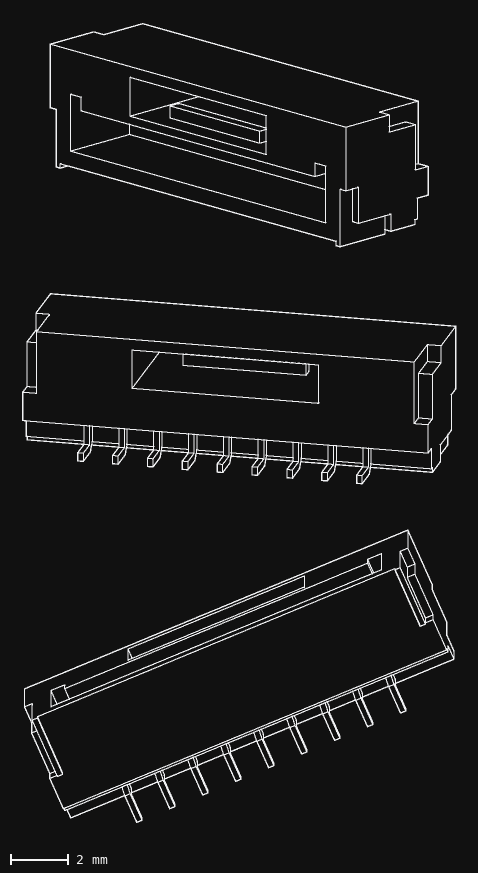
import cadquery as cq

LENGTH = 14.5
DEPTH = 4.06
HEIGHT = 4.23
BACK_LEDGE_Z = 0.93
HEEL_Z = 0.17
HEEL_Y = 3.41
HEEL_BACK_Y = 3.54

SLOT_WIDTH = 12.5
SLOT_BOTTOM = 0.57
SLOT_TOP = HEIGHT - 2.1
KEYWAY_TOP = HEIGHT - 1.61
KEYWAY_WIDTH = 0.52
SLOT_DEPTH = 2.9

WINDOW_WIDTH = 6.67
WINDOW_BOTTOM = HEIGHT - 1.8
WINDOW_TOP = HEIGHT - 0.39
BAR_WIDTH = 4.41
BAR_HEIGHT = 0.44
BAR_FRONT_Y = 0.83
BAR_DEPTH = 0.44

L_ARM = 0.62
BACK_RECESS_INSET = 0.5
BACK_RECESS_DEPTH_Y = 1.91
BACK_RECESS_HEIGHT = 2.26
FRONT_RECESS_INSET = 0.29
FRONT_RECESS_DEPTH_Y = 2.22
FRONT_RECESS_HEIGHT = 1.93

FOOT_THICKNESS = 0.2
FOOT_DROP = 0.16

LEAD_COUNT = 9
LEAD_PITCH = 1.25
LEAD_WIDTH = 0.2
LEAD_THICKNESS = 0.3
LEAD_STEM = 0.39
LEAD_DROP = 0.12
LEAD_REACH = 0.78
LEAD_BEVEL = 0.26


def centred_block(width, y_start, y_end, z_start, z_end):
    """Block centred on the housing length."""
    size = (width, y_end - y_start, z_end - z_start)
    return cq.Workplane("XY").box(*size, centered=(True, False, False)).translate((0, y_start, z_start))


def side_prism(points, x_start, width):
    """Prism along X with its outline given as (y, z) points."""
    return cq.Workplane("YZ", origin=(x_start, 0, 0)).polyline(points).close().extrude(width)


def both_ends(left_shape):
    """The given shape together with its mirror image at the other end."""
    return left_shape.union(left_shape.mirror("YZ"))


def housing():
    outline = [
        (0, 0),
        (HEEL_Y, 0),
        (HEEL_Y, HEEL_Z),
        (HEEL_BACK_Y, HEEL_Z),
        (HEEL_BACK_Y, BACK_LEDGE_Z),
        (DEPTH, BACK_LEDGE_Z),
        (DEPTH, HEIGHT),
        (0, HEIGHT),
    ]
    return side_prism(outline, -LENGTH / 2, LENGTH)


def mating_slot():
    slot = centred_block(SLOT_WIDTH, 0, SLOT_DEPTH, SLOT_BOTTOM, KEYWAY_TOP)
    tongue_width = SLOT_WIDTH - 2 * KEYWAY_WIDTH
    return slot.cut(centred_block(tongue_width, 0, SLOT_DEPTH, SLOT_TOP, KEYWAY_TOP))


def latch_window():
    return centred_block(WINDOW_WIDTH, 0, DEPTH, WINDOW_BOTTOM, WINDOW_TOP)


def latch_bar():
    bar_top = WINDOW_BOTTOM + BAR_HEIGHT
    return centred_block(BAR_WIDTH, BAR_FRONT_Y, BAR_FRONT_Y + BAR_DEPTH, WINDOW_BOTTOM, bar_top)


def back_recesses():
    outline = [
        (DEPTH, HEIGHT),
        (DEPTH - BACK_RECESS_DEPTH_Y, HEIGHT),
        (DEPTH - BACK_RECESS_DEPTH_Y, HEIGHT - L_ARM),
        (DEPTH - L_ARM, HEIGHT - L_ARM),
        (DEPTH - L_ARM, HEIGHT - BACK_RECESS_HEIGHT),
        (DEPTH, HEIGHT - BACK_RECESS_HEIGHT),
    ]
    return both_ends(side_prism(outline, -LENGTH / 2, BACK_RECESS_INSET))


def front_recesses():
    outline = [
        (0, 0),
        (FRONT_RECESS_DEPTH_Y, 0),
        (FRONT_RECESS_DEPTH_Y, L_ARM),
        (L_ARM, L_ARM),
        (L_ARM, FRONT_RECESS_HEIGHT),
        (0, FRONT_RECESS_HEIGHT),
    ]
    return both_ends(side_prism(outline, -LENGTH / 2, FRONT_RECESS_INSET))


def feet():
    outline = [
        (0, -FOOT_DROP),
        (FRONT_RECESS_DEPTH_Y, -FOOT_DROP),
        (FRONT_RECESS_DEPTH_Y, 0),
        (0, 0),
    ]
    return both_ends(side_prism(outline, -LENGTH / 2 + FRONT_RECESS_INSET, FOOT_THICKNESS))


def lead(x_centre):
    tip_y = DEPTH + LEAD_REACH
    stem_back_y = HEEL_BACK_Y + LEAD_STEM
    lead_top = LEAD_THICKNESS - LEAD_DROP
    outline = [
        (HEEL_BACK_Y, BACK_LEDGE_Z),
        (stem_back_y, BACK_LEDGE_Z),
        (stem_back_y, lead_top),
        (tip_y, lead_top),
        (tip_y, -LEAD_DROP),
        (HEEL_BACK_Y + LEAD_BEVEL, -LEAD_DROP),
        (HEEL_BACK_Y, lead_top),
    ]
    return side_prism(outline, x_centre - LEAD_WIDTH / 2, LEAD_WIDTH)


result = housing()
for opening in (mating_slot(), latch_window(), back_recesses(), front_recesses()):
    result = result.cut(opening)
result = result.union(latch_bar()).union(feet())
for index in range(LEAD_COUNT):
    result = result.union(lead((index - (LEAD_COUNT - 1) / 2) * LEAD_PITCH))